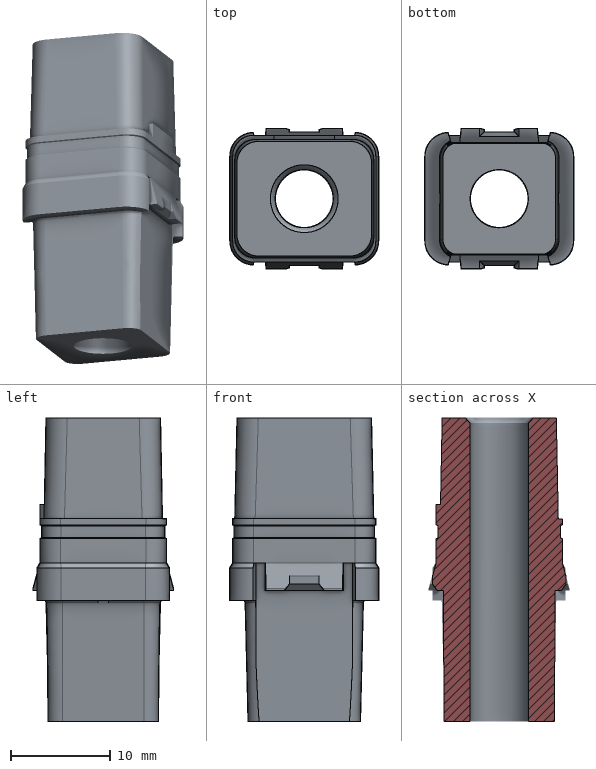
import cadquery as cq
import math

OVERLAP = 0.5

COLLAR_BOTTOM = 12.17
COLLAR_SHOULDER = 15.45
COLLAR_TOP = 15.95
GROOVE_BOTTOM = 18.4
GROOVE_TOP = 19.8
FLANGE_TOP = 20.43
TOTAL_HEIGHT = 30.57

LOWER_LENGTH = 11.33
LOWER_WIDTH = 11.24
LOWER_RADIUS = 1.5
LOWER_DRAFT = 1.4

RIM_HEIGHT = 0.18
RIM_FLARE = 0.05
RIM_GAP = 1.1

COLLAR_LENGTH = 15.0
COLLAR_WIDTH = 13.36
COLLAR_RADIUS = 2.45
FLANGE_LENGTH = 14.4
FLANGE_WIDTH = 12.77
FLANGE_RADIUS = 2.1

GROOVE_DEPTH_X = 0.12
GROOVE_DEPTH_Y = 0.19
GROOVE_RADIUS = 1.95
GROOVE_WALL_HEIGHT = 0.1

UPPER_BASE_LENGTH = 14.0
UPPER_BASE_WIDTH = 11.93
UPPER_BASE_RADIUS = 2.06
UPPER_TOP_LENGTH = 13.55
UPPER_TOP_WIDTH = 11.54
UPPER_TOP_RADIUS = 2.15

PANEL_BOTTOM_Y = 5.57
PANEL_TOP_Y = 5.68
PANEL_HALF_WIDTH = 4.83
PANEL_WALL_ANGLE = 16.0
PANEL_CUT_Y = COLLAR_WIDTH / 2 + OVERLAP

OVERALL_WIDTH = 14.15
LATCH_TIP_Y = OVERALL_WIDTH / 2
LATCH_HALF_WIDTH = 4.03
LATCH_TIP_HALF_WIDTH = 3.84
LATCH_HEIGHT = 2.76
LATCH_TIP_HEIGHT = 0.2
LATCH_ROOT_Y = PANEL_BOTTOM_Y - OVERLAP
LATCH_BOTTOM = COLLAR_TOP - LATCH_HEIGHT

NOTCH_WIDTH = 3.0
NOTCH_FLARED_WIDTH = 4.0
NOTCH_FLOOR_Y = 6.73
NOTCH_FOOT_Y = 6.27
NOTCH_FLARE_HEIGHT = 0.63

RIB_LENGTH = 6.04
RIB_HEIGHT = 1.44

MOUTH_DIAMETER = 6.82
MOUTH_DEPTH = 0.55
LAND_DIAMETER = 5.8
LAND_HEIGHT = 0.25
BORE_DIAMETER = 5.86


def rounded_rectangle(length, width, radius):
    return cq.Sketch().rect(length, width).vertices().fillet(radius)


def block(length, width, radius, bottom, top):
    """Straight rounded block between two heights."""
    section = rounded_rectangle(length, width, radius)
    return cq.Workplane("XY", origin=(0, 0, bottom)).placeSketch(section).extrude(top - bottom)


def tapered_block(lower, upper, bottom, top):
    """Rounded block whose (length, width, radius) changes evenly with height."""
    lower_section = rounded_rectangle(*lower)
    upper_section = rounded_rectangle(*upper).moved(cq.Location(cq.Vector(0, 0, top - bottom)))
    plane = cq.Workplane("XY", origin=(0, 0, bottom))
    return plane.placeSketch(lower_section, upper_section).loft(ruled=True)


def grown(section, offset):
    """Section sizes after moving the outline outward."""
    length, width, radius = section
    return length + 2 * offset, width + 2 * offset, radius + offset


def lower_section_at(height):
    base = (LOWER_LENGTH, LOWER_WIDTH, LOWER_RADIUS)
    return grown(base, height * math.tan(math.radians(LOWER_DRAFT)))


def lower_body():
    top_section = lower_section_at(COLLAR_BOTTOM)
    body = tapered_block(lower_section_at(0), top_section, 0, COLLAR_BOTTOM)
    rim_bottom = COLLAR_BOTTOM - RIM_HEIGHT
    rim = tapered_block(
        lower_section_at(rim_bottom), grown(top_section, RIM_FLARE), rim_bottom, COLLAR_BOTTOM
    )
    gap = cq.Workplane("XY", origin=(0, 0, rim_bottom)).rect(COLLAR_LENGTH, RIM_GAP).extrude(RIM_HEIGHT)
    return body.union(rim.cut(gap))


def collar():
    section = (COLLAR_LENGTH, COLLAR_WIDTH, COLLAR_RADIUS)
    flange_section = (FLANGE_LENGTH, FLANGE_WIDTH, FLANGE_RADIUS)
    skirt = block(*section, COLLAR_BOTTOM, COLLAR_SHOULDER)
    return skirt.union(tapered_block(section, flange_section, COLLAR_SHOULDER, COLLAR_TOP))


def grooved_flange():
    outer = (FLANGE_LENGTH, FLANGE_WIDTH, FLANGE_RADIUS)
    inner = (FLANGE_LENGTH - 2 * GROOVE_DEPTH_X, FLANGE_WIDTH - 2 * GROOVE_DEPTH_Y, GROOVE_RADIUS)
    floor_bottom = GROOVE_BOTTOM + GROOVE_WALL_HEIGHT
    floor_top = GROOVE_TOP - GROOVE_WALL_HEIGHT
    return (
        block(*outer, COLLAR_TOP, GROOVE_BOTTOM)
        .union(tapered_block(outer, inner, GROOVE_BOTTOM, floor_bottom))
        .union(block(*inner, floor_bottom, floor_top))
        .union(tapered_block(inner, outer, floor_top, GROOVE_TOP))
        .union(block(*outer, GROOVE_TOP, FLANGE_TOP))
    )


def upper_body():
    base = (UPPER_BASE_LENGTH, UPPER_BASE_WIDTH, UPPER_BASE_RADIUS)
    top = (UPPER_TOP_LENGTH, UPPER_TOP_WIDTH, UPPER_TOP_RADIUS)
    return tapered_block(base, top, FLANGE_TOP, TOTAL_HEIGHT)


def side_profile(points, half_length):
    """Prism with a (Y, Z) outline, centred on X = 0."""
    return cq.Workplane("YZ").polyline(points).close().extrude(half_length, both=True)


def widening_prism(root_y, root_half_width, end_y, end_half_width, bottom, top):
    """Trapezoid in plan between two Y positions, extruded in Z."""
    points = [
        (-root_half_width, root_y),
        (root_half_width, root_y),
        (end_half_width, end_y),
        (-end_half_width, end_y),
    ]
    return cq.Workplane("XY", origin=(0, 0, bottom)).polyline(points).close().extrude(top - bottom)


def panel_cut():
    """Material removed in front of the +Y panel; the panel leans outward going up."""
    in_front = [
        (PANEL_BOTTOM_Y, 0),
        (PANEL_CUT_Y, 0),
        (PANEL_CUT_Y, COLLAR_TOP),
        (PANEL_TOP_Y, COLLAR_TOP),
    ]
    wall_slope = math.tan(math.radians(PANEL_WALL_ANGLE))
    end_half_width = PANEL_HALF_WIDTH + (PANEL_CUT_Y - PANEL_BOTTOM_Y) * wall_slope
    plan = widening_prism(
        PANEL_BOTTOM_Y, PANEL_HALF_WIDTH, PANEL_CUT_Y, end_half_width, 0, COLLAR_TOP
    )
    return plan.intersect(side_profile(in_front, COLLAR_LENGTH))


def latch_notch():
    """Slot in the latch tip, flared at the foot, with a floor that runs inward below."""
    flare_top = LATCH_BOTTOM + NOTCH_FLARE_HEIGHT
    opening = [
        (-NOTCH_FLARED_WIDTH / 2, LATCH_BOTTOM),
        (NOTCH_FLARED_WIDTH / 2, LATCH_BOTTOM),
        (NOTCH_WIDTH / 2, flare_top),
        (NOTCH_WIDTH / 2, COLLAR_TOP),
        (-NOTCH_WIDTH / 2, COLLAR_TOP),
        (-NOTCH_WIDTH / 2, flare_top),
    ]
    depth = [
        (NOTCH_FOOT_Y, LATCH_BOTTOM),
        (LATCH_TIP_Y, LATCH_BOTTOM),
        (LATCH_TIP_Y, COLLAR_TOP),
        (NOTCH_FLOOR_Y, COLLAR_TOP),
        (NOTCH_FLOOR_Y, flare_top),
    ]
    slot = cq.Workplane("XZ").polyline(opening).close().extrude(-OVERALL_WIDTH)
    return slot.intersect(side_profile(depth, COLLAR_LENGTH))


def latch():
    """Wedge on the +Y panel, narrowing toward its tip."""
    wedge = [
        (LATCH_ROOT_Y, LATCH_BOTTOM),
        (LATCH_TIP_Y, LATCH_BOTTOM),
        (LATCH_TIP_Y, LATCH_BOTTOM + LATCH_TIP_HEIGHT),
        (FLANGE_WIDTH / 2, COLLAR_TOP),
        (LATCH_ROOT_Y, COLLAR_TOP),
    ]
    plan = widening_prism(
        LATCH_ROOT_Y, LATCH_HALF_WIDTH, LATCH_TIP_Y, LATCH_TIP_HALF_WIDTH, LATCH_BOTTOM, COLLAR_TOP
    )
    return plan.intersect(side_profile(wedge, COLLAR_LENGTH)).cut(latch_notch())


def rib():
    plane = cq.Workplane("XY", origin=(0, FLANGE_WIDTH / 4, FLANGE_TOP))
    return plane.rect(RIB_LENGTH, FLANGE_WIDTH / 2).extrude(RIB_HEIGHT)


def bore():
    land_top = TOTAL_HEIGHT - MOUTH_DEPTH
    land_bottom = land_top - LAND_HEIGHT
    half_section = [
        (0, 0),
        (BORE_DIAMETER / 2, 0),
        (BORE_DIAMETER / 2, land_bottom),
        (LAND_DIAMETER / 2, land_bottom),
        (LAND_DIAMETER / 2, land_top),
        (MOUTH_DIAMETER / 2, TOTAL_HEIGHT),
        (0, TOTAL_HEIGHT),
    ]
    return cq.Workplane("XZ").polyline(half_section).close().revolve(360, (0, 0), (0, 1))


def on_both_y_sides(feature):
    return feature.union(feature.mirror("XZ"))


result = (
    lower_body()
    .union(collar())
    .cut(on_both_y_sides(panel_cut()))
    .union(grooved_flange())
    .union(on_both_y_sides(latch()))
    .union(upper_body())
    .union(rib())
    .cut(bore())
)